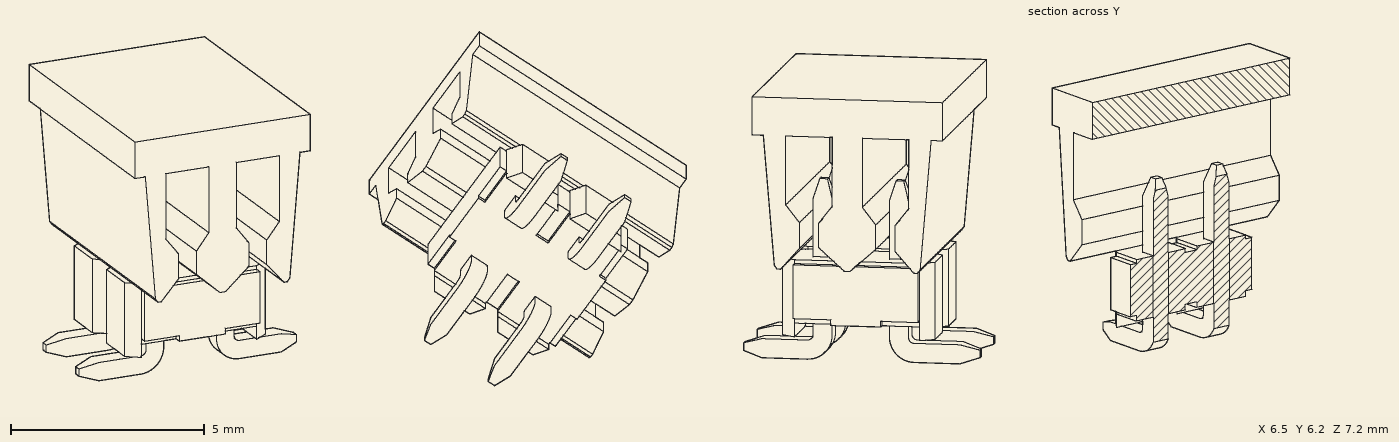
import cadquery as cq


total_height = 7.2
pitch = 2.0
half_pitch = pitch / 2

pin_width = 0.505
pin_top = 4.72
pin_reach = 6.2 / 2
taper_length = 0.505
tip_width = 0.2
bend_inner_radius = 0.15
bend_outer_radius = bend_inner_radius + pin_width
pin_outer_face = half_pitch + pin_width / 2
pin_inner_face = half_pitch - pin_width / 2

plate_length = 4.0
plate_width = 3.28
plate_bottom = 1.04
plate_top = 2.6
recess_depth = 0.15
recess_inner_y = 0.655
column_inner_x = 0.19
column_outer_x = 1.8
column_chamfer_x = 0.25
column_top = 2.7
column_half_depth = 2.0
leg_bottom = 0.68

cap_length = 6.5
cap_width = 5.0
cap_plate_thickness = 1.0
cap_plate_bottom = total_height - cap_plate_thickness
cap_bottom = column_top
arm_root_y = 2.2
arm_end_y = 1.915
arm_end_chamfer = 0.1
arm_tip_outer_y = 1.84
arm_tip_inner_y = 1.75
slot_outer_y = 1.61
slot_inner_y = 0.395
slot_shoulder = 4.39
lip_top = 3.94
side_lip_bottom = 3.26
middle_lip_bottom = 3.3
middle_tip_y = 0.08


def bent_pin():
    """Pin in the YZ plane: upright, bent towards -Y at the foot, both ends tapered."""
    upright_top = pin_top - taper_length
    foot_end = -(pin_reach - taper_length)
    bend_y = -pin_outer_face - bend_inner_radius
    bend_z = bend_outer_radius
    shank = (
        cq.Workplane("YZ")
        .moveTo(-pin_outer_face, upright_top)
        .lineTo(-pin_inner_face, upright_top)
        .lineTo(-pin_inner_face, bend_z)
        .radiusArc((bend_y, 0), bend_outer_radius)
        .lineTo(foot_end, 0)
        .lineTo(foot_end, pin_width)
        .lineTo(bend_y, pin_width)
        .radiusArc((-pin_outer_face, bend_z), -bend_inner_radius)
        .close()
        .extrude(pin_width / 2, both=True)
    )
    top_taper = tapered_end(cq.Plane((0, -half_pitch, upright_top), (1, 0, 0), (0, 0, 1)))
    foot_taper = tapered_end(cq.Plane((0, foot_end, pin_width / 2), (1, 0, 0), (0, -1, 0)))
    return shank.union(top_taper).union(foot_taper)


def tapered_end(plane):
    """Square frustum growing from the given plane."""
    return (
        cq.Workplane(plane)
        .rect(pin_width, pin_width)
        .workplane(offset=taper_length)
        .rect(tip_width, tip_width)
        .loft()
    )


def column():
    """Full-depth column for the +X pin row, with chamfered ends and a leg at each end."""
    shoulder_y = plate_width / 2
    flat_inner_x = column_inner_x + column_chamfer_x
    flat_outer_x = column_outer_x - column_chamfer_x
    outline = [
        (column_inner_x, -shoulder_y),
        (flat_inner_x, -column_half_depth),
        (flat_outer_x, -column_half_depth),
        (column_outer_x, -shoulder_y),
        (column_outer_x, shoulder_y),
        (flat_outer_x, column_half_depth),
        (flat_inner_x, column_half_depth),
        (column_inner_x, shoulder_y),
    ]
    body = (
        cq.Workplane("XY", origin=(0, 0, leg_bottom))
        .polyline(outline)
        .close()
        .extrude(column_top - leg_bottom)
    )
    between_legs = (
        cq.Workplane("XY", origin=(0, 0, leg_bottom))
        .rect(plate_length, plate_width)
        .extrude(plate_bottom - leg_bottom)
    )
    return body.cut(between_legs)


def base_plate():
    """Plate with a shallow relief along the underside of both long edges."""
    plate = (
        cq.Workplane("XY", origin=(0, 0, plate_bottom))
        .rect(plate_length, plate_width)
        .extrude(plate_top - plate_bottom)
    )
    recess_width = plate_width / 2 - recess_inner_y
    recess_centre_y = recess_inner_y + recess_width / 2
    recesses = (
        cq.Workplane("XY", origin=(0, 0, plate_bottom))
        .pushPoints([(0, -recess_centre_y), (0, recess_centre_y)])
        .rect(plate_length, recess_width)
        .extrude(recess_depth)
    )
    return plate.cut(recesses)


def pin_base():
    """Plate and both columns as one body, with a square hole for every pin."""
    right_column = column()
    left_column = right_column.mirror("YZ")
    return (
        base_plate()
        .union(right_column)
        .union(left_column)
        .faces(">Z")
        .workplane(origin=(0, 0, column_top))
        .rarray(pitch, pitch, 2, 2)
        .rect(pin_width, pin_width)
        .cutThruAll()
    )


def pickup_cap():
    """Flat plate with two side arms and a middle arm that grip the pins between lips."""
    right_half = [
        (cap_width / 2, total_height),
        (cap_width / 2, cap_plate_bottom),
        (arm_root_y, cap_plate_bottom),
        (arm_end_y, cap_bottom + arm_end_chamfer),
        (arm_tip_outer_y, cap_bottom),
        (arm_tip_inner_y, cap_bottom),
        (pin_outer_face, side_lip_bottom),
        (pin_outer_face, lip_top),
        (slot_outer_y, slot_shoulder),
        (slot_outer_y, cap_plate_bottom),
        (slot_inner_y, cap_plate_bottom),
        (slot_inner_y, slot_shoulder),
        (pin_inner_face, lip_top),
        (pin_inner_face, middle_lip_bottom),
        (middle_tip_y, cap_bottom),
    ]
    left_half = [(-y, z) for y, z in reversed(right_half)]
    return (
        cq.Workplane("YZ")
        .polyline(right_half + left_half)
        .close()
        .extrude(cap_length / 2, both=True)
    )


base = pin_base()
cap = pickup_cap()

front_pin = bent_pin()
back_pin = front_pin.rotate((0, 0, 0), (0, 0, 1), 180)
pins = []
for row_x in (-half_pitch, half_pitch):
    for pin in (front_pin, back_pin):
        pins.append(pin.translate((row_x, 0, 0)).solids().val())

result = cq.Compound.makeCompound([base.solids().val(), cap.solids().val(), *pins])